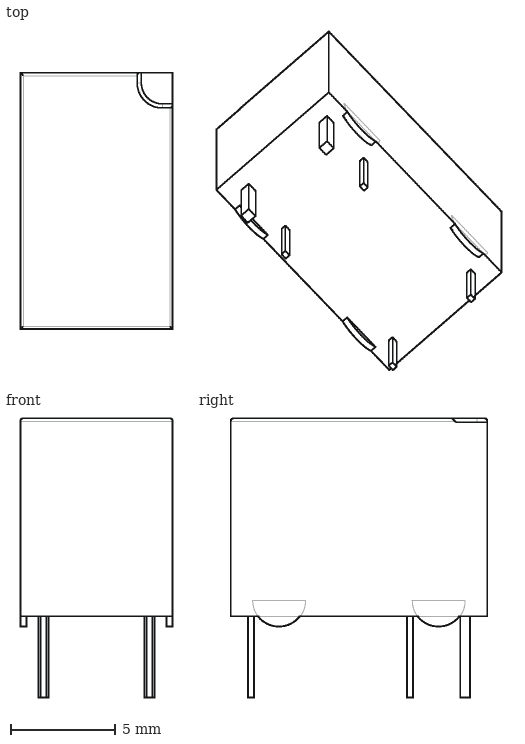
import cadquery as cq

BODY_X = 7.3
BODY_Y = 12.3
BODY_Z = 9.5
TOP_ROUND = 0.15

NOTCH_SIDE = 1.5
NOTCH_RADIUS = 1.0
NOTCH_DEPTH = 0.2
NOTCH_WALL_ANGLE = 45

FOOT_RADIUS = 1.27
FOOT_DROP = 0.5
FOOT_THICKNESS = 0.3
FOOT_SPACING = 7.65
FOOT_CENTRE_Y = -0.015

PIN_LENGTH = 3.9
PIN_ROW_SPACING = 5.08
COIL_PIN_SIZE = (0.5, 0.48)
CONTACT_PIN_SIZE = (0.25, 0.3)
COIL_PIN_Y = 5.09
CONTACT_PIN_SPACING = 7.62
INNER_CONTACT_PIN_Y = 2.44
OUTER_CONTACT_PIN_Y = INNER_CONTACT_PIN_Y - CONTACT_PIN_SPACING


def make_housing():
    """Box with a rounded-over top rim and a sloping-walled notch in one top corner."""
    box = cq.Workplane("XY").box(BODY_X, BODY_Y, BODY_Z, centered=(True, True, False))
    rounded_box = box.faces(">Z").edges().fillet(TOP_ROUND)
    notch_profile = cq.Sketch().rect(2 * NOTCH_SIDE, 2 * NOTCH_SIDE).vertices().fillet(NOTCH_RADIUS)
    notch = (
        cq.Workplane("XY", origin=(BODY_X / 2, BODY_Y / 2, BODY_Z - NOTCH_DEPTH))
        .placeSketch(notch_profile)
        .extrude(NOTCH_DEPTH, taper=-NOTCH_WALL_ANGLE)
    )
    return rounded_box.cut(notch)


def make_foot(outer_x, y):
    """Half disc, flat side up, reaching from the wall at outer_x toward the middle."""
    inward = -FOOT_THICKNESS if outer_x > 0 else FOOT_THICKNESS
    return (
        cq.Workplane("YZ", origin=(outer_x, y, FOOT_RADIUS - FOOT_DROP))
        .moveTo(-FOOT_RADIUS, 0)
        .threePointArc((0, -FOOT_RADIUS), (FOOT_RADIUS, 0))
        .close()
        .extrude(inward)
    )


def make_pin(x, y, size):
    """Rectangular pin of the given X and Y size, hanging from the underside of the housing."""
    return cq.Workplane("XY", origin=(x, y, 0)).rect(*size).extrude(-PIN_LENGTH)


result = make_housing()

for pin_x in (-PIN_ROW_SPACING / 2, PIN_ROW_SPACING / 2):
    result = result.union(make_pin(pin_x, COIL_PIN_Y, COIL_PIN_SIZE))
    for contact_pin_y in (INNER_CONTACT_PIN_Y, OUTER_CONTACT_PIN_Y):
        result = result.union(make_pin(pin_x, contact_pin_y, CONTACT_PIN_SIZE))

for wall_x in (-BODY_X / 2, BODY_X / 2):
    for foot_y in (FOOT_CENTRE_Y - FOOT_SPACING / 2, FOOT_CENTRE_Y + FOOT_SPACING / 2):
        result = result.union(make_foot(wall_x, foot_y), clean=False)